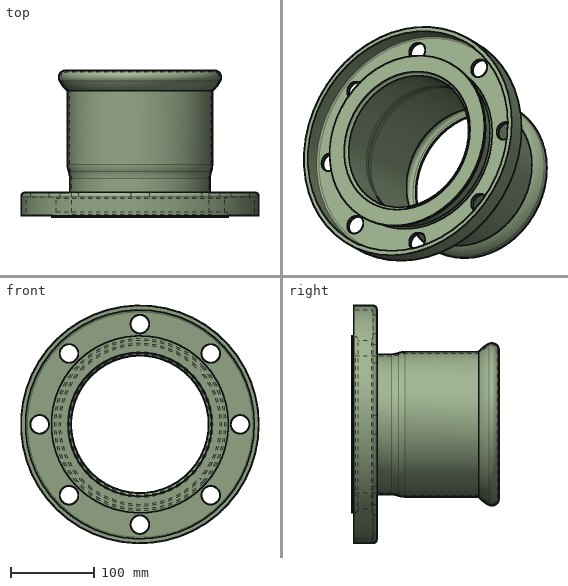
import cadquery as cq
import math

total_length = 176.1

wall = 2.0
neck_diameter = 168.3
socket_diameter = 174.0
neck_end = 47.0
socket_start = 63.5
transition_middle = (neck_end + socket_start) / 2

bead_diameter = 195.0
bead_radius = 8.5
bead_seam = total_length - 12.4
bead_foot = total_length - 24.5

flange_diameter = 285.0
flange_front = 2.0
flange_back = 30.0
flange_rounding = 5.0
recess_diameter = 274.0
recess_floor = 25.0
recess_rounding = 2.0

collar_diameter = 212.0
collar_rim_thickness = 2.0
collar_hub_diameter = 202.0
collar_rim_rounding = (collar_diameter - collar_hub_diameter) / 2
collar_foot_rounding = 2.0
collar_bore_rounding = 4.0

bolt_count = 8
bolt_circle_diameter = 240.0
bolt_diameter = 22.0


def revolve_about_y(profile):
    return profile.close().revolve(360, (0, 0, 0), (0, 1, 0))


def make_skin(offset):
    """Solid of revolution bounded by the pipe surface lying offset inside the outer one."""
    neck_r = neck_diameter / 2 - offset
    middle_r = (neck_diameter + socket_diameter) / 4 - offset
    socket_r = socket_diameter / 2 - offset

    center_r = bead_diameter / 2 - bead_radius
    center_y = total_length - bead_radius
    radius = bead_radius - offset
    seam_angle = math.asin((bead_seam - center_y) / bead_radius)
    seam = (center_r + radius * math.cos(seam_angle), center_y + radius * math.sin(seam_angle))
    crest = (center_r + radius, center_y)

    profile = (
        cq.Workplane("XY")
        .moveTo(0, center_y + radius)
        .lineTo(center_r, center_y + radius)
        .threePointArc(crest, seam)
        .tangentArcPoint((socket_r, bead_foot), relative=False)
        .lineTo(socket_r, socket_start)
        .tangentArcPoint((middle_r, transition_middle), relative=False)
        .tangentArcPoint((neck_r, neck_end), relative=False)
        .lineTo(neck_r, 0)
        .lineTo(0, 0)
    )
    return revolve_about_y(profile)


def cylinder(diameter, start, end):
    return cq.Workplane("XZ", origin=(0, start, 0)).circle(diameter / 2).extrude(start - end)


def make_flange():
    flange = cylinder(flange_diameter, flange_front, flange_back).faces(">Y").edges().fillet(flange_rounding)
    recess = cylinder(recess_diameter, flange_front, recess_floor).faces(">Y").edges().fillet(recess_rounding)
    bolts = (
        cq.Workplane("XZ")
        .polarArray(bolt_circle_diameter / 2, 0, 360, bolt_count)
        .circle(bolt_diameter / 2)
        .extrude(-flange_back)
    )
    return flange.cut(recess).cut(bolts)


def make_collar():
    """Thin rim blending through a hollow rounding into a hub that flares at the flange."""
    rim_r = collar_diameter / 2
    hub_r = collar_hub_diameter / 2
    profile = (
        cq.Workplane("XY")
        .moveTo(0, 0)
        .lineTo(rim_r, 0)
        .lineTo(rim_r, collar_rim_thickness)
        .radiusArc((hub_r, collar_rim_thickness + collar_rim_rounding), -collar_rim_rounding)
        .lineTo(hub_r, recess_floor - collar_foot_rounding)
        .radiusArc((hub_r + collar_foot_rounding, recess_floor), -collar_foot_rounding)
        .lineTo(0, recess_floor)
    )
    return revolve_about_y(profile)


def make_bore():
    bore_diameter = neck_diameter - 2 * wall
    mouth_r = bore_diameter / 2 + collar_bore_rounding
    flare = (
        cq.Workplane("XY")
        .moveTo(0, 0)
        .lineTo(mouth_r, 0)
        .radiusArc((bore_diameter / 2, collar_bore_rounding), -collar_bore_rounding)
        .lineTo(0, collar_bore_rounding)
    )
    mouth = cylinder(socket_diameter - 2 * wall, bead_foot, total_length)
    return make_skin(wall).union(mouth).union(revolve_about_y(flare))


result = make_flange().union(make_collar()).union(make_skin(0)).cut(make_bore())